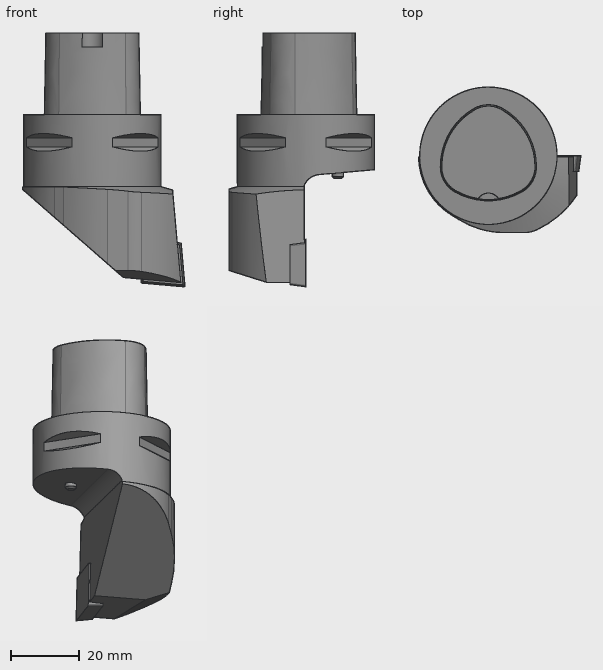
import cadquery as cq
import math


cut_margin = 0.75

shank_height = 23.8
lobe_offset = 6.45
lobe_radius_base = 8.4
lobe_radius_top = 8.0
notch_radius = 3.5
notch_center_y = -14.35
notch_depth = 4.15

collar_radius = 40.0 / 2
collar_height = 20.95
groove_floor_distance = 17.7
groove_center_z = -8.1
groove_floor_width = 2.6
groove_side_angle = 29

flat_y = -0.45
cutaway_rim_z = -16.05
cutaway_angle = 5
cutaway_arc_start_y = 3.8
cutaway_arc_end_z = -20.6
cutaway_arc_radius = 5.1

nozzle_radius = 3.3 / 2
nozzle_y = 9.3
nozzle_tip_z = -18.6
nozzle_root_z = -14.8
nozzle_chamfer = 0.6

blade_radius = 20.35
blade_side_y = -22.4
blade_cone_angle = 16
blade_limit = 37
heel_arc_end_angle = 237.3
heel_blend_start = (-8.35, -18.7)
heel_blend_radius = 25.15
side_start_x = 4.4
side_end_x = 10.35
nose_blend_end = (14.35, -21.45)
nose_blend_radius = 8.5
nose_arc_end = (27.0, -9.4)
nose_arc_radius = 28.1
heel_z = -21.75
heel_bottom_x = 9.0
heel_bottom_z = -47.4
nose_top_x = 23.4
nose_top_z = -21.9
lead_angle = 5
relief_z = -45.35
relief_angle = 17.5

insert_side = 12.9
insert_thickness = 4.65
insert_corner_radius = 0.4
insert_clearance = 7
insert_tip_x = 27.0
insert_tip_z = -50.2


def slope(angle):
    return math.tan(math.radians(angle))


def polar(radius, angle, center=(0, 0)):
    a = math.radians(angle)
    return (center[0] + radius * math.cos(a), center[1] + radius * math.sin(a))


def lobed_wire(lobe_radius, z):
    """Three lobe arcs joined by tangent flank arcs, with one lobe pointing to +Y."""
    flank_radius = lobe_radius + math.sqrt(3) * lobe_offset
    outline = cq.Workplane("XY", origin=(0, 0, z))
    outline = outline.moveTo(*polar(lobe_radius, 60, polar(lobe_offset, 90)))
    for direction in (90, 210, 330):
        lobe_center = polar(lobe_offset, direction)
        opposite_center = polar(lobe_offset, direction + 240)
        outline = outline.threePointArc(
            polar(lobe_radius, direction, lobe_center), polar(lobe_radius, direction + 30, lobe_center)
        )
        outline = outline.threePointArc(
            polar(flank_radius, direction + 60, opposite_center),
            polar(flank_radius, direction + 90, opposite_center),
        )
    return outline.close().val()


def make_shank():
    base = lobed_wire(lobe_radius_base, 0)
    top = lobed_wire(lobe_radius_top, shank_height)
    shank = cq.Workplane(cq.Solid.makeLoft([base, top], True))
    notch = (
        cq.Workplane("XY", origin=(0, notch_center_y, shank_height - notch_depth))
        .circle(notch_radius)
        .extrude(notch_depth)
    )
    return shank.cut(notch)


def make_groove(angle):
    """Cutter with a narrow floor and flared sides, facing the given direction."""
    outer = collar_radius + cut_margin
    floor_half = groove_floor_width / 2
    outer_half = floor_half + (outer - groove_floor_distance) * slope(groove_side_angle)
    return (
        cq.Workplane("XZ", origin=(0, collar_radius, groove_center_z))
        .polyline([
            (groove_floor_distance, -floor_half),
            (outer, -outer_half),
            (outer, outer_half),
            (groove_floor_distance, floor_half),
        ])
        .close()
        .extrude(2 * collar_radius)
        .rotate((0, 0, 0), (0, 0, 1), angle)
    )


def make_cutaway():
    outer_y = collar_radius + cut_margin
    arc_start_z = cutaway_rim_z - (collar_radius - cutaway_arc_start_y) * slope(cutaway_angle)
    outer_z = cutaway_rim_z + (outer_y - collar_radius) * slope(cutaway_angle)
    floor_z = -collar_height - cut_margin
    return (
        cq.Workplane("YZ", origin=(-outer_y, 0, 0))
        .moveTo(outer_y, outer_z)
        .lineTo(cutaway_arc_start_y, arc_start_z)
        .radiusArc((flat_y, cutaway_arc_end_z), -cutaway_arc_radius)
        .lineTo(flat_y, floor_z)
        .lineTo(outer_y, floor_z)
        .close()
        .extrude(2 * outer_y)
    )


def make_collar():
    collar = cq.Workplane("XY").circle(collar_radius).extrude(-collar_height)
    for angle in (45, 135, 225, 315):
        collar = collar.cut(make_groove(angle))
    return collar.cut(make_cutaway())


def make_nozzle():
    return (
        cq.Workplane("XY", origin=(0, nozzle_y, nozzle_tip_z))
        .circle(nozzle_radius)
        .extrude(nozzle_root_z - nozzle_tip_z)
        .faces("<Z")
        .chamfer(nozzle_chamfer)
    )


def make_blade():
    heel_arc_middle_angle = (180 + heel_arc_end_angle) / 2
    heel_x = -math.sqrt(blade_radius**2 - flat_y**2)
    plan = (
        cq.Workplane("XY", origin=(0, 0, -collar_height))
        .moveTo(heel_x, flat_y)
        .threePointArc(polar(blade_radius, heel_arc_middle_angle), polar(blade_radius, heel_arc_end_angle))
        .lineTo(*heel_blend_start)
        .radiusArc((side_start_x, blade_side_y), -heel_blend_radius)
        .lineTo(side_end_x, blade_side_y)
        .radiusArc(nose_blend_end, -nose_blend_radius)
        .radiusArc(nose_arc_end, -nose_arc_radius)
        .lineTo(nose_arc_end[0], flat_y)
        .close()
        .extrude(-blade_limit)
    )

    nose_slope = slope(lead_angle)
    corner_x = (
        nose_top_x + (nose_top_z - heel_bottom_z - heel_bottom_x * nose_slope) * nose_slope
    ) / (1 - nose_slope**2)
    corner_z = heel_bottom_z - (corner_x - heel_bottom_x) * nose_slope
    profile_top_z = -collar_height
    profile = (
        cq.Workplane("XZ")
        .polyline([
            (-blade_radius, profile_top_z),
            (-blade_radius, heel_z),
            (heel_bottom_x, heel_bottom_z),
            (corner_x, corner_z),
            (nose_top_x - (profile_top_z - nose_top_z) * nose_slope, profile_top_z),
        ])
        .close()
        .extrude(blade_limit)
    )

    cone_drop = (blade_limit - collar_radius) * slope(blade_cone_angle)
    cone = (
        cq.Workplane("XZ")
        .polyline([
            (0, -collar_height),
            (collar_radius, -collar_height),
            (blade_limit, -collar_height - cone_drop),
            (blade_limit, -collar_height - blade_limit),
            (0, -collar_height - blade_limit),
        ])
        .close()
        .revolve(360, (0, 0, 0), (0, 1, 0))
    )

    relief_drop = -blade_side_y * slope(relief_angle)
    relief = (
        cq.Workplane("YZ", origin=(-blade_limit, 0, 0))
        .polyline([
            (2 * blade_side_y, relief_z + relief_drop),
            (0, relief_z - relief_drop),
            (2 * blade_side_y, relief_z - relief_drop),
        ])
        .close()
        .extrude(2 * blade_limit)
    )
    return plan.intersect(profile).intersect(cone).cut(relief)


def make_insert():
    """Rhombic plate with its rake face at Y = 0 and its acute lower +X corner as the tip."""
    long_leg = insert_side * math.cos(math.radians(lead_angle))
    short_leg = insert_side * math.sin(math.radians(lead_angle))
    return (
        cq.Workplane("XZ", origin=(insert_tip_x, 0, insert_tip_z))
        .polyline([
            (0, 0),
            (-short_leg, long_leg),
            (-short_leg - long_leg, long_leg + short_leg),
            (-long_leg, short_leg),
        ])
        .close()
        .extrude(insert_thickness, taper=insert_clearance)
        .edges("not(<Y or >Y)")
        .fillet(insert_corner_radius)
    )


cutting_insert = make_insert()
holder = make_shank().union(make_collar()).union(make_nozzle()).union(make_blade()).cut(cutting_insert)

result = cq.Compound.makeCompound([holder.solids().val(), cutting_insert.val()])